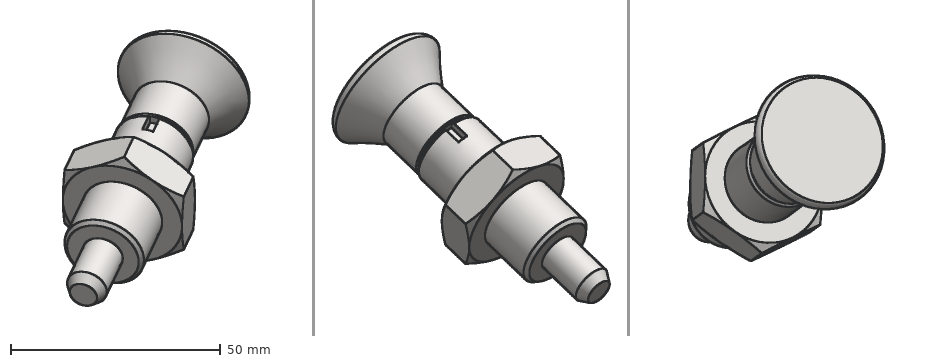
import cadquery as cq
import math


pin_diameter = 10.0
pin_length = 15.0
pin_tip_angle = 30.0
pin_tip_length = 2.7

shank_diameter = 20.0
shank_length = 15.0
shank_chamfer = 1.0

hex_sides = 6
hex_across_flats = 30.0
hex_height = 10.0
hex_chamfer_angle = 30.0

collar_base_diameter = 20.0
collar_top_diameter = 19.8
collar_length = 15.2
collar_chamfer = 1.0

neck_diameter = 19.0
neck_length = 12.3
neck_edge_chamfer = 0.4
knob_diameter = 33.0
flare_length = 9.3
flare_sag = 0.25
rim_height = 2.2
rim_band_height = 0.2
rim_face_diameter = 31.0
rim_bulge = 0.3

slot_width = 2.7
slot_length = 5.7
slot_floor_diameter = 14.0

shank_end = -shank_length
pin_end = shank_end - pin_length
collar_start = hex_height
collar_end = collar_start + collar_length
flare_start = collar_end + neck_length
rim_start = flare_start + flare_length
rim_band_end = rim_start + rim_band_height
knob_end = rim_start + rim_height


def revolve_about_y(profile):
    """Close the XY half-profile and turn it into a solid around the Y axis."""
    return profile.close().revolve(360, (0, 0, 0), (0, 1, 0))


def make_pin():
    radius = pin_diameter / 2
    tip_radius = radius - pin_tip_length * math.tan(math.radians(pin_tip_angle))
    return revolve_about_y(
        cq.Workplane("XY")
        .moveTo(0, pin_end)
        .lineTo(tip_radius, pin_end)
        .lineTo(radius, pin_end + pin_tip_length)
        .lineTo(radius, 0)
        .lineTo(0, 0)
    )


def make_shank():
    radius = shank_diameter / 2
    return revolve_about_y(
        cq.Workplane("XY")
        .moveTo(0, shank_end)
        .lineTo(radius - shank_chamfer, shank_end)
        .lineTo(radius, shank_end + shank_chamfer)
        .lineTo(radius, 0)
        .lineTo(0, 0)
    )


def make_hexagon():
    """Hexagon with corners on the Z axis and both end faces chamfered conically."""
    flat_radius = hex_across_flats / 2
    half_sector = 180 / hex_sides
    corner_radius = flat_radius / math.cos(math.radians(half_sector))
    chamfer_drop = (corner_radius - flat_radius) * math.tan(math.radians(hex_chamfer_angle))
    prism = (
        cq.Workplane("XZ")
        .polygon(hex_sides, 2 * corner_radius)
        .extrude(-hex_height)
        .rotate((0, 0, 0), (0, 1, 0), half_sector)
    )
    chamfer_cones = revolve_about_y(
        cq.Workplane("XY")
        .moveTo(0, 0)
        .lineTo(flat_radius, 0)
        .lineTo(corner_radius, chamfer_drop)
        .lineTo(corner_radius, hex_height - chamfer_drop)
        .lineTo(flat_radius, hex_height)
        .lineTo(0, hex_height)
    )
    return prism.intersect(chamfer_cones)


def make_collar():
    top_radius = collar_top_diameter / 2
    return revolve_about_y(
        cq.Workplane("XY")
        .moveTo(0, collar_start)
        .lineTo(collar_base_diameter / 2, collar_start)
        .lineTo(top_radius, collar_end - collar_chamfer)
        .lineTo(top_radius - collar_chamfer, collar_end)
        .lineTo(0, collar_end)
    )


def make_knob():
    neck_radius = neck_diameter / 2
    knob_radius = knob_diameter / 2
    rim_face_radius = rim_face_diameter / 2
    flare_middle = (
        (neck_radius + knob_radius) / 2 - flare_sag,
        (flare_start + rim_start) / 2,
    )
    rim_middle = (
        (knob_radius + rim_face_radius) / 2 + rim_bulge,
        (rim_band_end + knob_end) / 2,
    )
    return revolve_about_y(
        cq.Workplane("XY")
        .moveTo(0, collar_end)
        .lineTo(neck_radius - neck_edge_chamfer, collar_end)
        .lineTo(neck_radius, collar_end + neck_edge_chamfer)
        .lineTo(neck_radius, flare_start)
        .threePointArc(flare_middle, (knob_radius, rim_start))
        .lineTo(knob_radius, rim_band_end)
        .threePointArc(rim_middle, (rim_face_radius, knob_end))
        .lineTo(0, knob_end)
    )


def make_slot():
    """Slot open at the knob end, with a floor concentric with the collar."""
    slot_start = collar_end - slot_length
    opening = (
        cq.Workplane("XY")
        .box(slot_width, slot_length, collar_base_diameter, centered=(True, False, False))
        .translate((0, slot_start, 0))
    )
    core = (
        cq.Workplane("XZ", origin=(0, slot_start, 0))
        .circle(slot_floor_diameter / 2)
        .extrude(-slot_length)
    )
    return opening.cut(core)


result = (
    make_pin()
    .union(make_shank())
    .union(make_hexagon())
    .union(make_collar().cut(make_slot()))
    .union(make_knob())
)